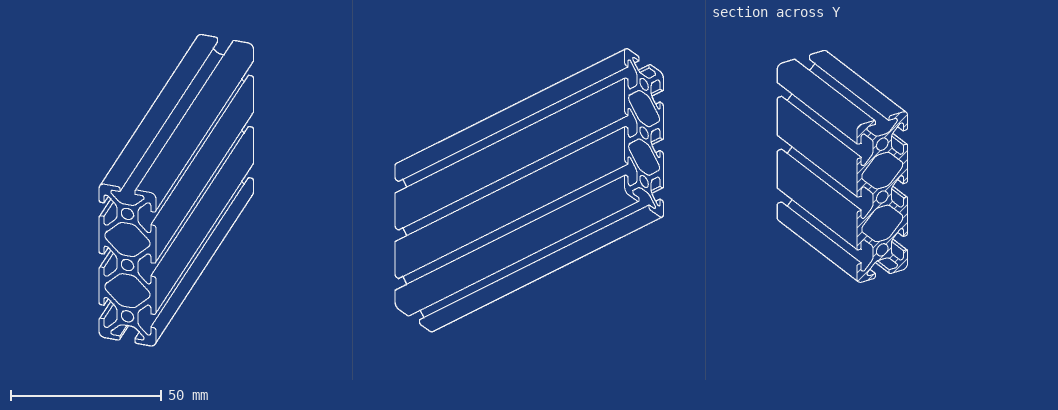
import cadquery as cq

length = 100.0
cell = 20.0
cell_count = 3
corner_radius = 2.0

slot_opening = 5.2
lip_thickness = 1.8
lip_radius = 0.8
slot_tip_radius = 0.8

core_width = 7.3
bore_diameter = 4.3
core_flat_width = 4.8
core_fillet = 3.0

chamber_side_radius = 2.0

half_cell = cell / 2
half_opening = slot_opening / 2
half_core = core_width / 2
lip_inner = half_cell - lip_thickness
height = cell * cell_count
core_corner = core_flat_width / 2
web_offset = half_core - core_corner
slot_tip = lip_inner - web_offset
chamber_corner = half_cell - web_offset
cell_centres = [(i - (cell_count - 1) / 2) * cell for i in range(cell_count)]

cut_clearance = 1.0
edge_tolerance = 0.01


def prism(points):
    """Full-length prism with an outline drawn in the XZ plane."""
    return cq.Workplane("XZ").polyline(points).close().extrude(length / 2, both=True)


def round_edges(body, positions, radius):
    """Fillet the lengthwise edges that pass through the given (x, z) positions."""
    for x, z in positions:
        box = cq.selectors.BoxSelector(
            (x - edge_tolerance, -length, z - edge_tolerance),
            (x + edge_tolerance, length, z + edge_tolerance),
        )
        body = body.edges(box).fillet(radius)
    return body


def both_sides(x, z):
    """A position and its mirror image across the YZ plane."""
    return [(x, z), (-x, z)]


def slot_cutter():
    """T-slot that opens toward +Z, with the cell centre at the origin."""
    mouth = half_cell + cut_clearance
    half_outline = [
        (half_opening, mouth),
        (half_opening, lip_inner),
        (slot_tip, lip_inner),
        (core_corner, half_core),
    ]
    mirrored = [(-x, z) for x, z in reversed(half_outline)]
    cutter = prism(half_outline + mirrored)
    cutter = round_edges(cutter, both_sides(slot_tip, lip_inner), slot_tip_radius)
    return round_edges(cutter, both_sides(core_corner, half_core), core_fillet)


def chamber_cutter():
    """Closed six-sided chamber, centred midway between two cores."""
    core_face = half_cell - half_core
    floor_corners = both_sides(core_corner, core_face) + both_sides(core_corner, -core_face)
    side_corners = both_sides(chamber_corner, 0)
    cutter = prism([
        (chamber_corner, 0),
        (core_corner, core_face),
        (-core_corner, core_face),
        (-chamber_corner, 0),
        (-core_corner, -core_face),
        (core_corner, -core_face),
    ])
    cutter = round_edges(cutter, side_corners, chamber_side_radius)
    return round_edges(cutter, floor_corners, core_fillet)


result = cq.Workplane("XY").box(cell, length, height).edges("|Y").fillet(corner_radius)

slot = slot_cutter()
slot_turns = [(90, z) for z in cell_centres] + [(-90, z) for z in cell_centres]
slot_turns += [(0, cell_centres[-1]), (180, cell_centres[0])]
for angle, z in slot_turns:
    result = result.cut(slot.rotate((0, 0, 0), (0, 1, 0), angle).translate((0, 0, z)))

side_lips = [(x, z + dz) for z in cell_centres
             for x in (-half_cell, half_cell)
             for dz in (-half_opening, half_opening)]
end_lips = both_sides(half_opening, height / 2) + both_sides(half_opening, -height / 2)
result = round_edges(result, side_lips + end_lips, lip_radius)

chamber = chamber_cutter()
for z in cell_centres[:-1]:
    result = result.cut(chamber.translate((0, 0, z + half_cell)))

bore_centres = [(0, z) for z in cell_centres]
bores = cq.Workplane("XZ").pushPoints(bore_centres).circle(bore_diameter / 2)
result = result.cut(bores.extrude(length / 2, both=True))